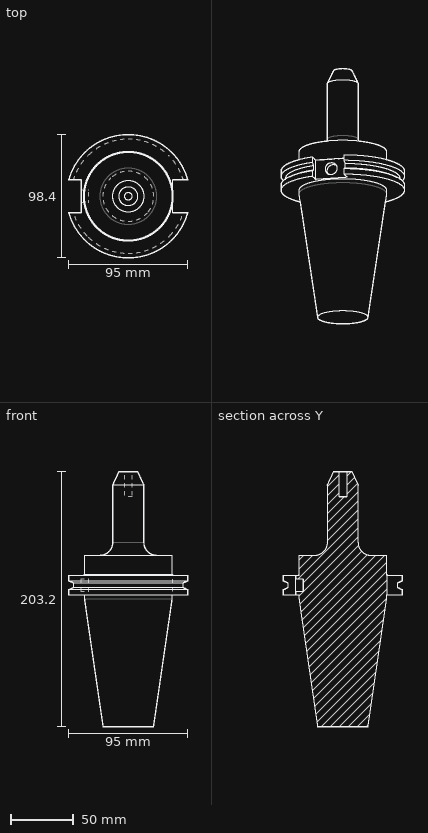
import cadquery as cq
import math

GAUGE_DIAMETER = 69.85
TAPER_LENGTH = 101.6
TAPER_RATIO = 7 / 24

FLANGE_DIAMETER = 98.43
FLANGE_BOTTOM_Z = 3.18
FLANGE_TOP_Z = 19.05

GROOVE_CENTER_Z = (FLANGE_BOTTOM_Z + FLANGE_TOP_Z) / 2
GROOVE_FLOOR_DIAMETER = 91.2
GROOVE_FLOOR_WIDTH = 3.6
GROOVE_WALL_ANGLE = 25.0

SLOT_WIDTH = 25.9
SLOT_FLOOR_MINUS_X = 37.6
SLOT_FLOOR_PLUS_X = 35.3

SIDE_HOLE_DIAMETER = 9.7
SIDE_HOLE_DEPTH = 6.0

BOSS_DIAMETER = 69.85
BOSS_TOP_Z = 35.0
BOSS_BASE_FILLET = 0.8

NOSE_DIAMETER = 25.0
NOSE_TOP_Z = 101.6
NOSE_ROOT_RADIUS = 10.0
TIP_DIAMETER = 15.0
TIP_LENGTH = 10.7
TIP_HOLE_DIAMETER = 6.0
TIP_HOLE_DEPTH = 20.0


def concave_arc_middle(inner_radius, base_z, fillet_radius):
    """Middle point of a quarter-round blending a horizontal face into a vertical wall."""
    offset = fillet_radius * (1 - math.sqrt(0.5))
    return (inner_radius + offset, base_z + offset)


def revolved_body():
    """Taper, flange, boss and nose as one turned profile (radius, Z)."""
    small_end_radius = (GAUGE_DIAMETER - TAPER_LENGTH * TAPER_RATIO) / 2
    gauge_radius = GAUGE_DIAMETER / 2
    flange_radius = FLANGE_DIAMETER / 2
    boss_radius = BOSS_DIAMETER / 2
    nose_radius = NOSE_DIAMETER / 2
    profile = (
        cq.Workplane("XZ")
        .moveTo(0, -TAPER_LENGTH)
        .lineTo(small_end_radius, -TAPER_LENGTH)
        .lineTo(gauge_radius, 0)
        .lineTo(gauge_radius, FLANGE_BOTTOM_Z)
        .lineTo(flange_radius, FLANGE_BOTTOM_Z)
        .lineTo(flange_radius, FLANGE_TOP_Z)
        .lineTo(boss_radius + BOSS_BASE_FILLET, FLANGE_TOP_Z)
        .threePointArc(
            concave_arc_middle(boss_radius, FLANGE_TOP_Z, BOSS_BASE_FILLET),
            (boss_radius, FLANGE_TOP_Z + BOSS_BASE_FILLET),
        )
        .lineTo(boss_radius, BOSS_TOP_Z)
        .lineTo(nose_radius + NOSE_ROOT_RADIUS, BOSS_TOP_Z)
        .threePointArc(
            concave_arc_middle(nose_radius, BOSS_TOP_Z, NOSE_ROOT_RADIUS),
            (nose_radius, BOSS_TOP_Z + NOSE_ROOT_RADIUS),
        )
        .lineTo(nose_radius, NOSE_TOP_Z - TIP_LENGTH)
        .lineTo(TIP_DIAMETER / 2, NOSE_TOP_Z)
        .lineTo(0, NOSE_TOP_Z)
        .close()
    )
    return profile.revolve(360, (0, 0, 0), (0, 1, 0))


def flange_groove():
    """Ring to cut: flat floor with walls opening outward to the flange rim."""
    floor_radius = GROOVE_FLOOR_DIAMETER / 2
    rim_radius = FLANGE_DIAMETER / 2
    floor_half = GROOVE_FLOOR_WIDTH / 2
    wall_rise = (rim_radius - floor_radius) * math.tan(math.radians(GROOVE_WALL_ANGLE))
    rim_half = floor_half + wall_rise
    profile = (
        cq.Workplane("XZ")
        .moveTo(floor_radius, GROOVE_CENTER_Z - floor_half)
        .lineTo(rim_radius, GROOVE_CENTER_Z - rim_half)
        .lineTo(rim_radius, GROOVE_CENTER_Z + rim_half)
        .lineTo(floor_radius, GROOVE_CENTER_Z + floor_half)
        .close()
    )
    return profile.revolve(360, (0, 0, 0), (0, 1, 0))


def drive_slot(side, floor_distance):
    """Box to cut through the flange height; side is -1 or +1 along X."""
    depth = FLANGE_DIAMETER / 2 - floor_distance
    height = FLANGE_TOP_Z - FLANGE_BOTTOM_Z
    center_x = side * (floor_distance + depth / 2)
    return cq.Workplane("XY").box(depth, SLOT_WIDTH, height).translate((center_x, 0, GROOVE_CENTER_Z))


def side_hole():
    """Blind hole running toward +X from the floor of the -X slot."""
    start = (-SLOT_FLOOR_MINUS_X, 0, GROOVE_CENTER_Z)
    return cq.Workplane("YZ", origin=start).circle(SIDE_HOLE_DIAMETER / 2).extrude(SIDE_HOLE_DEPTH)


def tip_hole():
    """Blind hole running down from the end of the nose."""
    start = (0, 0, NOSE_TOP_Z)
    return cq.Workplane("XY", origin=start).circle(TIP_HOLE_DIAMETER / 2).extrude(-TIP_HOLE_DEPTH)


result = (
    revolved_body()
    .cut(flange_groove())
    .cut(drive_slot(-1, SLOT_FLOOR_MINUS_X))
    .cut(drive_slot(1, SLOT_FLOOR_PLUS_X))
    .cut(side_hole())
    .cut(tip_hole())
)